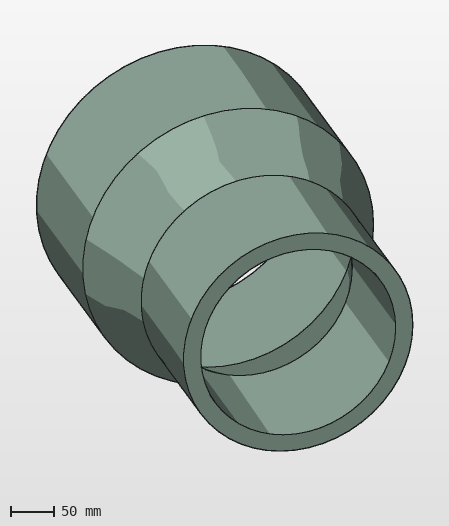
import math

import cadquery as cq

total_length = 426.0
large_length = 170.0
small_length = 155.0
large_outer_diameter = 355.0
large_bore_diameter = 312.5
small_outer_diameter = 280.0
small_bore_diameter = 237.5

taper_start = large_length
taper_end = total_length - small_length

wall = (large_outer_diameter - large_bore_diameter) / 2
radius_drop = (large_outer_diameter - small_outer_diameter) / 2
taper_angle = math.atan2(radius_drop, taper_end - taper_start)
bore_shift = wall * math.tan(taper_angle / 2)


def reducer_body(large_diameter, small_diameter, cone_start, cone_end):
    """Solid of revolution: large cylinder, cone, then small cylinder."""
    large_radius = large_diameter / 2
    small_radius = small_diameter / 2
    half_profile = (
        cq.Workplane("XY")
        .moveTo(0, 0)
        .lineTo(0, large_radius)
        .lineTo(cone_start, large_radius)
        .lineTo(cone_end, small_radius)
        .lineTo(total_length, small_radius)
        .lineTo(total_length, 0)
        .close()
    )
    return half_profile.revolve(360, (0, 0, 0), (1, 0, 0))


outer_body = reducer_body(large_outer_diameter, small_outer_diameter, taper_start, taper_end)
bore = reducer_body(
    large_bore_diameter,
    small_bore_diameter,
    taper_start - bore_shift,
    taper_end - bore_shift,
)

result = outer_body.cut(bore)